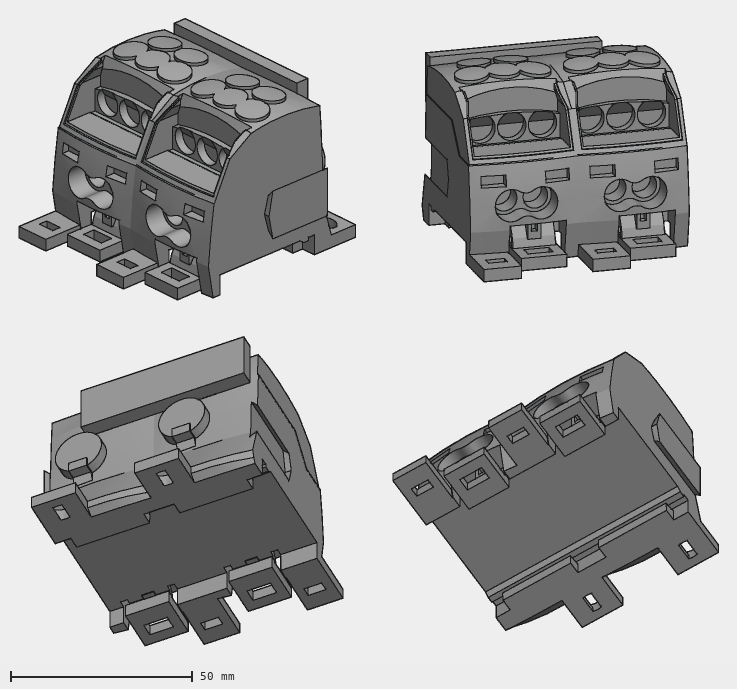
import cadquery as cq


MODULE_COUNT = 2
PITCH = 31.35
MODULE_WIDTH = 31.55
LENGTH_X = 64.75
LENGTH_Y = 68.0
CENTRE_X = MODULE_WIDTH / 2
BODY_WIDTH = (MODULE_COUNT - 1) * PITCH + MODULE_WIDTH

SIDE_PROFILE = {
    "back": [(57.4, 0), (58.1, 1.7), (58.9, 3.95), (56.2, 13.8), (55.1, 38.1), (54.6, 45.4)],
    "roof": [(41.0, 47.05), (28.7, 45.9)],
    "brow": [(24.7, 43.3), (20.7, 40.7), (14.95, 29.25), (14.75, 29.0)],
    "front": [(13.45, 19.05), (12.65, 10.2)],
    "toe": (14.4, 0),
}
CROWN_PROFILE = {
    "back": [(57.65, 0), (60.0, 1.55), (60.1, 3.95), (56.45, 14.6), (56.6, 38.75), (54.75, 45.7)],
    "roof": [(41.0, 48.35), (28.7, 47.45)],
    "brow": [(23.1, 45.7), (20.1, 41.2), (14.0, 29.25), (13.7, 29.0)],
    "front": [(11.75, 19.05), (11.55, 10.2)],
    "toe": (13.45, 0),
}

RAIL_FRONT = 17.0
RAIL_REAR = 52.5
RAIL_HEIGHT = 6.2
NIB_DROP = 1.0

COVER_INSET = 0.3
SEAM_LOW = 29.05
SEAM_HIGH = 37.2
SEAM_SLOPE_FRONT = 23.65
SEAM_SLOPE_REAR = 31.0

WINDOW_LEFT = 2.1
WINDOW_RIGHT = 29.85
WINDOW_FLOOR = 31.0
WINDOW_SIDE_TOP = 41.15
WINDOW_TOP = 44.2
WINDOW_TOP_INSET = 1.0
WINDOW_REAR = 28.7
RIM = 0.6
RIM_DEPTH = 0.4
LIP_SIDE = 43.0
LIP_CENTRE = 45.8
LIP_SLOPE = 2.0
LIP_DEPTH = 2.7

ENTRY_FRONT = 26.65
ENTRY_GROOVE_FRONT = 24.8
ENTRY_GROOVE_DEPTH = 0.3
ENTRY_TOP_SIDE = 37.6
ENTRY_TOP_CENTRE = 39.1
BORE_RADIUS = 4.1
BORE_HEIGHT = 35.2
BORE_END = 29.4
POLE_SPACING = 8.85
POLE_MIDDLE = 16.05
POLES = [POLE_MIDDLE + i * POLE_SPACING for i in (-1, 0, 1)]

PAD_RADIUS = 4.8
PAD_RISE = 0.95
FRONT_PAD_Y = 35.35
REAR_PAD_Y = 44.95
REAR_PAD_RADIUS = 4.7
REAR_PADS = [10.7, 21.3]

TEST_SLOT_LEFTS = [3.25, 21.6]
TEST_SLOT_WIDTH = 7.0
TEST_SLOT_BOTTOM = 22.7
TEST_SLOT_HEIGHT = 3.2
TEST_SLOT_END = 15.65
LOBES = [11.5, 20.3]
LOBE_HEIGHT = 17.3
LOBE_RADIUS = 4.55
LOBE_WAIST = 3.25
LOBE_END = 18.35
PLUG_RADIUS = 3.55
PLUG_END = 24.5

NOTCH_LEFT = 11.0
NOTCH_WIDTH = 16.3
NOTCH_TOP = 11.5
NOTCH_END = 19.05
SLIDER_LEFT = 12.65
SLIDER_WIDTH = 13.1
SLIDER_FRONT = 6.4
SLIDER_CATCH = 19.1
SLIDER_CATCH_TOP = 4.15
SLIDER_SLOT = (15.65, 9.7, 7.15, 3.95)
UPRIGHT_LEFT = 13.05
UPRIGHT_WIDTH = 12.25
POST_LEFT = 17.3
POST_WIDTH = 3.7
POST_BOTTOM = 5.9
POST_FRONT = 15.3
POST_SLOT_WIDTH = 1.7
POST_SLOT_BOTTOM = 8.15
POST_SLOT_DEPTH = 2.05

FOOT_HEIGHT = 3.6
FRONT_FOOT_WIDTH = 10.8
FRONT_FOOT_SLOT = (2.85, 5.0, 5.4, 2.8)
REAR_FOOT_HEIGHT = 3.95
REAR_FOOT_WIDTH = 13.3
REAR_HOLE_X = 24.9
REAR_HOLE_Y = 62.7
REAR_HOLE_RADII = (4.0, 2.7)
REAR_HOLE_RECESS = 2.05
REAR_SLOT_WIDTH = 2.7
HOOK_LEFT = 4.6
HOOK_RIGHT = 26.8
HOOK_TIP_HEIGHT = 3.6
HOOK_ROOT_HEIGHT = 4.55

CLIP_X = 21.15
CLIP_HEIGHT = 25.0
CLIP_RADIUS = 7.0
CLIP_END = 59.8
CLIP_LIP_WIDTH = 5.45
CLIP_LIP_END = 60.3
CLIP_LIP_TOP = 21.1
CLIP_LIP_BOTTOM = 18.0
CLIP_WEB_BOTTOM = 14.95
HOUSING_BACK = 54.4
STRIP_LEFT = 1.7
STRIP_LENGTH = 49.45
STRIP_FRONT = 56.85
STRIP_DEPTH = 4.15
STRIP_BOTTOM = 33.0
STRIP_HEIGHT = 14.2
LUG_WIDTH = 6.8
LUG_BOTTOM = 33.3
LUG_HEIGHT = 2.45

DOVETAIL_DEPTH = LENGTH_X - BODY_WIDTH
DOVETAIL_BOTTOM = 13.75
DOVETAIL_TOP = 24.4
DOVETAIL_FLARE = 2.05
DOVETAIL_TIP = 33.7
DOVETAIL_SHOULDER = 35.15
DOVETAIL_REAR = 55.8

CLEAR = 13.6
OVERLAP = 0.7


def box(x, y, z, width, depth, height):
    """Box placed by its lower left front corner."""
    return cq.Workplane("XY").box(width, depth, height, centered=False).translate((x, y, z))


def side_prism(points, x, width):
    """Prism with a (Y, Z) outline, running along X."""
    return cq.Workplane("YZ", origin=(x, 0, 0)).polyline(points).close().extrude(width)


def front_sketch(y):
    """Plane at depth y whose local axes are X and Z; extrusions run toward -Y."""
    return cq.Workplane("XZ", origin=(0, y, 0))


def profile_wire(profile, x):
    """Closed housing outline in the plane at x."""
    outline = cq.Workplane("YZ", origin=(x, 0, 0)).polyline(profile["back"])
    outline = outline.threePointArc(*profile["roof"])
    for point in profile["brow"]:
        outline = outline.lineTo(*point)
    outline = outline.threePointArc(*profile["front"])
    return outline.lineTo(*profile["toe"]).close().wires().val()


def crowned_housing():
    """Solid housing of one module, bulging toward its centre plane."""
    wires = [
        profile_wire(SIDE_PROFILE, 0),
        profile_wire(CROWN_PROFILE, CENTRE_X),
        profile_wire(SIDE_PROFILE, MODULE_WIDTH),
    ]
    return cq.Workplane(cq.Solid.makeLoft(wires))


def window_prism(margin, rear):
    """Window outline enlarged by margin, cut from the front to the rear plane."""
    left = WINDOW_LEFT - margin
    right = WINDOW_RIGHT + margin
    points = [
        (left, WINDOW_FLOOR - margin), (right, WINDOW_FLOOR - margin), (right, WINDOW_SIDE_TOP),
        (right - WINDOW_TOP_INSET, WINDOW_TOP), (right - WINDOW_TOP_INSET, WINDOW_TOP + CLEAR),
        (left + WINDOW_TOP_INSET, WINDOW_TOP + CLEAR), (left + WINDOW_TOP_INSET, WINDOW_TOP),
        (left, WINDOW_SIDE_TOP),
    ]
    return front_sketch(rear).polyline(points).close().extrude(rear)


def arched_top(y, base, side, centre):
    """Closed outline across the window with a straight base and an arched other side."""
    return (
        front_sketch(y).moveTo(WINDOW_LEFT, base).lineTo(WINDOW_LEFT, side)
        .threePointArc((CENTRE_X, centre), (WINDOW_RIGHT, side)).lineTo(WINDOW_RIGHT, base).close()
    )


def entry_block():
    """Arched block left standing at the rear of the window."""
    depth = WINDOW_REAR - ENTRY_FRONT
    return arched_top(WINDOW_REAR, WINDOW_FLOOR - OVERLAP, ENTRY_TOP_SIDE, ENTRY_TOP_CENTRE).extrude(depth)


def entry_groove():
    """Shallow strip sunk into the window floor in front of the entry block."""
    width = WINDOW_RIGHT - WINDOW_LEFT
    depth = ENTRY_FRONT - ENTRY_GROOVE_FRONT
    bottom = WINDOW_FLOOR - ENTRY_GROOVE_DEPTH
    return box(WINDOW_LEFT, ENTRY_GROOVE_FRONT, bottom, width, depth, ENTRY_GROOVE_DEPTH)


def lip_cut():
    """Cut above the arched lip, rising steeply from the rear wall of the window."""
    outline = arched_top(WINDOW_REAR, LIP_CENTRE + CLEAR, LIP_SIDE, LIP_CENTRE).wires().val()
    slant = cq.Vector(0, LIP_DEPTH, LIP_DEPTH * LIP_SLOPE)
    return cq.Workplane(cq.Solid.extrudeLinear(outline, [], slant))


def bore(x):
    """Conductor bore with an upright lower end wall and a ceiling that slopes down to it."""
    length = BORE_END - ENTRY_FRONT
    cylinder = front_sketch(BORE_END).center(x, BORE_HEIGHT).circle(BORE_RADIUS).extrude(length)
    top = BORE_HEIGHT + BORE_RADIUS
    bottom = BORE_HEIGHT - BORE_RADIUS
    side = [(ENTRY_FRONT, bottom), (ENTRY_FRONT, top), (BORE_END, BORE_HEIGHT), (BORE_END, bottom)]
    return cylinder.intersect(side_prism(side, x - BORE_RADIUS, 2 * BORE_RADIUS))


def lobed_opening():
    """Two round lobes with a waist whose arcs are tangent to both lobes."""
    middle = sum(LOBES) / 2
    half = (LOBES[1] - LOBES[0]) / 2
    waist_radius = (half**2 + LOBE_WAIST**2 - LOBE_RADIUS**2) / (2 * (LOBE_RADIUS - LOBE_WAIST))
    share = LOBE_RADIUS / (LOBE_RADIUS + waist_radius)
    dx = half - half * share
    dz = (LOBE_WAIST + waist_radius) * share
    outline = (
        front_sketch(LOBE_END)
        .moveTo(middle - dx, LOBE_HEIGHT + dz)
        .threePointArc((middle, LOBE_HEIGHT + LOBE_WAIST), (middle + dx, LOBE_HEIGHT + dz))
        .threePointArc((LOBES[1] + LOBE_RADIUS, LOBE_HEIGHT), (middle + dx, LOBE_HEIGHT - dz))
        .threePointArc((middle, LOBE_HEIGHT - LOBE_WAIST), (middle - dx, LOBE_HEIGHT - dz))
        .threePointArc((LOBES[0] - LOBE_RADIUS, LOBE_HEIGHT), (middle - dx, LOBE_HEIGHT + dz))
        .close()
    )
    plugs = front_sketch(PLUG_END).pushPoints([(x, LOBE_HEIGHT) for x in LOBES]).circle(PLUG_RADIUS)
    return outline.extrude(LOBE_END).union(plugs.extrude(PLUG_END - LOBE_END))


def roof_pads(housing):
    """Round pads that follow the roof at a constant rise."""
    roof = cq.Workplane("XY", origin=(0, 0, WINDOW_TOP))
    pads = roof.pushPoints([(x, REAR_PAD_Y) for x in REAR_PADS]).circle(REAR_PAD_RADIUS).extrude(CLEAR)
    for x in POLES:
        pads = pads.union(roof.center(x, FRONT_PAD_Y).circle(PAD_RADIUS).extrude(CLEAR))
    return pads.intersect(housing.translate((0, 0, PAD_RISE)))


def rail_channel():
    """Channel for the mounting rail, with a small nib hanging from its roof."""
    nib_bottom = RAIL_HEIGHT - NIB_DROP
    points = [
        (RAIL_FRONT, 0), (RAIL_FRONT, RAIL_HEIGHT), (47.1, RAIL_HEIGHT), (48.5, nib_bottom), (50.3, nib_bottom),
        (50.3, RAIL_HEIGHT), (RAIL_REAR, RAIL_HEIGHT), (RAIL_REAR, 0),
    ]
    return side_prism(points, 0, MODULE_WIDTH)


def foot_slider():
    """Slotted front tab with a sloped upright and a slotted post that hold it in the notch."""
    tab_profile = [
        (SLIDER_FRONT, 0), (SLIDER_CATCH, 0), (SLIDER_CATCH, SLIDER_CATCH_TOP),
        (RAIL_FRONT, SLIDER_CATCH_TOP), (RAIL_FRONT, FOOT_HEIGHT), (SLIDER_FRONT, FOOT_HEIGHT),
    ]
    upright_profile = [
        (15.4, FOOT_HEIGHT), (16.05, RAIL_HEIGHT), (NOTCH_END, NOTCH_TOP), (NOTCH_END + OVERLAP, NOTCH_TOP),
        (NOTCH_END + OVERLAP, RAIL_HEIGHT), (17.5, RAIL_HEIGHT), (17.5, FOOT_HEIGHT),
    ]
    slot_x, slot_y, slot_width, slot_depth = SLIDER_SLOT
    post_height = NOTCH_TOP - POST_BOTTOM
    slot_left = POST_LEFT + (POST_WIDTH - POST_SLOT_WIDTH) / 2
    post = box(POST_LEFT, POST_FRONT, POST_BOTTOM, POST_WIDTH, NOTCH_END - POST_FRONT, post_height)
    slot_height = NOTCH_TOP - POST_SLOT_BOTTOM
    post_slot = box(slot_left, POST_FRONT, POST_SLOT_BOTTOM, POST_SLOT_WIDTH, POST_SLOT_DEPTH, slot_height)
    return (
        side_prism(tab_profile, SLIDER_LEFT, SLIDER_WIDTH)
        .cut(box(slot_x, slot_y, 0, slot_width, slot_depth, FOOT_HEIGHT))
        .union(side_prism(upright_profile, UPRIGHT_LEFT, UPRIGHT_WIDTH))
        .union(post)
        .cut(post_slot)
    )


def front_foot():
    """Slotted screw foot at the left of the module."""
    slot_x, slot_y, slot_width, slot_depth = FRONT_FOOT_SLOT
    foot = box(0, 0, 0, FRONT_FOOT_WIDTH, RAIL_FRONT, FOOT_HEIGHT)
    return foot.cut(box(slot_x, slot_y, 0, slot_width, slot_depth, FOOT_HEIGHT))


def rear_foot():
    """Rear foot at the right of the module: its oval hole has a ledge and a slope."""
    depth = LENGTH_Y - RAIL_REAR
    foot = box(MODULE_WIDTH - REAR_FOOT_WIDTH, RAIL_REAR, 0, REAR_FOOT_WIDTH, depth, REAR_FOOT_HEIGHT)
    opening = cq.Workplane("XY").center(REAR_HOLE_X, REAR_HOLE_Y).ellipse(*REAR_HOLE_RADII).extrude(CLEAR)
    left = REAR_HOLE_X - REAR_HOLE_RADII[0]
    right = REAR_HOLE_X + REAR_HOLE_RADII[0]
    slot_left = REAR_HOLE_X - REAR_SLOT_WIDTH / 2
    slot_right = REAR_HOLE_X + REAR_SLOT_WIDTH / 2
    ledge = REAR_FOOT_HEIGHT - REAR_HOLE_RECESS
    section = [
        (left, ledge), (slot_left, ledge), (slot_left, 0), (slot_right, 0), (right, REAR_FOOT_HEIGHT),
        (right, CLEAR), (left, CLEAR),
    ]
    funnel = front_sketch(LENGTH_Y).polyline(section).close().extrude(LENGTH_Y - RAIL_REAR)
    return foot, opening.intersect(funnel)


def rear_hook():
    """Hook that reaches under the rear flange of the rail."""
    root = RAIL_REAR + OVERLAP
    points = [
        (root, 0), (48.8, 0), (48.6, HOOK_TIP_HEIGHT), (RAIL_REAR, HOOK_ROOT_HEIGHT),
        (root, HOOK_ROOT_HEIGHT),
    ]
    return side_prism(points, HOOK_LEFT, HOOK_RIGHT - HOOK_LEFT)


def rear_clip():
    """Round boss on the back of the module with a lip along its lower edge."""
    depth = CLIP_END - HOUSING_BACK
    boss = front_sketch(CLIP_END).center(CLIP_X, CLIP_HEIGHT).circle(CLIP_RADIUS).extrude(depth)
    lip = [
        (HOUSING_BACK, CLIP_LIP_TOP), (CLIP_LIP_END, CLIP_LIP_TOP), (CLIP_LIP_END, CLIP_LIP_BOTTOM),
        (57.45, CLIP_LIP_BOTTOM), (56.1, CLIP_WEB_BOTTOM), (HOUSING_BACK, CLIP_WEB_BOTTOM),
    ]
    return boss.union(side_prism(lip, CLIP_X - CLIP_LIP_WIDTH / 2, CLIP_LIP_WIDTH))


def strip_lug():
    """Small lug between the housing and the marker strip."""
    depth = STRIP_FRONT - HOUSING_BACK
    return box(CENTRE_X - LUG_WIDTH / 2, HOUSING_BACK, LUG_BOTTOM, LUG_WIDTH, depth, LUG_HEIGHT)


def dovetail(x, rear):
    """Dovetail that starts narrow at x and flares toward +X, with a pointed front end."""
    wires = []
    middle = (DOVETAIL_BOTTOM + DOVETAIL_TOP) / 2
    for offset, flare in ((0, 0), (DOVETAIL_DEPTH, DOVETAIL_FLARE)):
        bottom = DOVETAIL_BOTTOM - flare
        top = DOVETAIL_TOP + flare
        outline = [
            (rear, bottom), (rear, top), (DOVETAIL_SHOULDER, top), (DOVETAIL_TIP, middle),
            (DOVETAIL_SHOULDER, bottom),
        ]
        wires.append(cq.Wire.makePolygon([cq.Vector(x + offset, y, z) for y, z in outline], close=True))
    return cq.Workplane(cq.Solid.makeLoft(wires, True))


def module():
    """One complete terminal module with its left side at X = 0."""
    housing = crowned_housing()
    pads = roof_pads(housing)
    rear, rear_opening = rear_foot()
    rim_cut = window_prism(RIM, WINDOW_REAR).cut(housing.translate((0, RIM_DEPTH, -RIM_DEPTH)))

    body = housing.cut(rim_cut).cut(window_prism(0, WINDOW_REAR).cut(entry_block())).cut(lip_cut())
    body = body.cut(entry_groove()).union(pads)
    for x in POLES:
        body = body.cut(bore(x))
    for x in TEST_SLOT_LEFTS:
        body = body.cut(box(x, 0, TEST_SLOT_BOTTOM, TEST_SLOT_WIDTH, TEST_SLOT_END, TEST_SLOT_HEIGHT))
    body = body.cut(lobed_opening()).cut(rail_channel())
    body = body.cut(box(NOTCH_LEFT, 0, 0, NOTCH_WIDTH, NOTCH_END, NOTCH_TOP))
    body = body.union(front_foot()).union(rear).cut(rear_opening)
    body = body.union(foot_slider()).union(rear_hook()).union(rear_clip())
    return body.union(strip_lug())


def cover_inset():
    """Thin layer removed from the outer left side above the cover seam."""
    points = [
        (0, SEAM_LOW), (SEAM_SLOPE_FRONT, SEAM_LOW), (SEAM_SLOPE_REAR, SEAM_HIGH), (LENGTH_Y, SEAM_HIGH),
        (LENGTH_Y, WINDOW_TOP + CLEAR), (0, WINDOW_TOP + CLEAR),
    ]
    return side_prism(points, 0, COVER_INSET)


single = module()
result = single
for index in range(1, MODULE_COUNT):
    result = result.union(single.translate((index * PITCH, 0, 0)))

result = result.cut(cover_inset()).cut(dovetail(0, LENGTH_Y))
result = result.union(dovetail(BODY_WIDTH, DOVETAIL_REAR))
result = result.union(box(STRIP_LEFT, STRIP_FRONT, STRIP_BOTTOM, STRIP_LENGTH, STRIP_DEPTH, STRIP_HEIGHT))